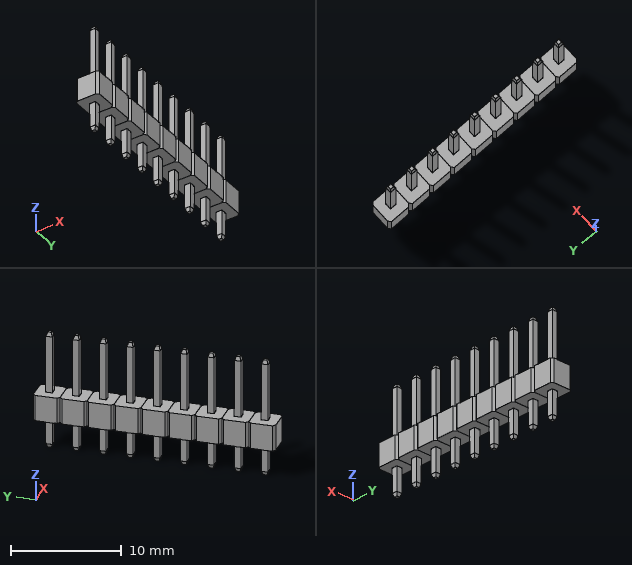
import cadquery as cq

row_length = 22.85
position_count = 9
pitch = row_length / position_count

block_width = pitch
block_height = pitch
chamfer_x = 0.27
chamfer_y = 0.23

overall_height = 11.5
pin_width = 0.65
pin_below_block = 3.0
tip_height = 0.4
tip_inset = 0.14

block_bottom = 0.0
pin_bottom = block_bottom - pin_below_block


def make_block():
    """Square block whose four vertical corners are cut off by flats."""
    half_x = block_width / 2
    half_y = pitch / 2
    outline = [
        (half_x, half_y - chamfer_y),
        (half_x - chamfer_x, half_y),
        (-half_x + chamfer_x, half_y),
        (-half_x, half_y - chamfer_y),
        (-half_x, -half_y + chamfer_y),
        (-half_x + chamfer_x, -half_y),
        (half_x - chamfer_x, -half_y),
        (half_x, -half_y + chamfer_y),
    ]
    return (
        cq.Workplane("XY", origin=(0, 0, block_bottom))
        .polyline(outline)
        .close()
        .extrude(block_height)
    )


def make_pin():
    """Square pin tapered to a smaller square flat at both ends."""
    return (
        cq.Workplane("XY", origin=(0, 0, pin_bottom))
        .rect(pin_width, pin_width)
        .extrude(overall_height)
        .faces("<Z or >Z")
        .chamfer(tip_height, tip_inset)
    )


def make_header_position(y):
    """One position of the header: block and pin joined into one solid, centred at y."""
    return make_block().union(make_pin()).translate((0, y, 0))


header_positions = []
for index in range(position_count):
    y = (index - (position_count - 1) / 2) * pitch
    header_positions.append(make_header_position(y).solids().val())

result = cq.Compound.makeCompound(header_positions)